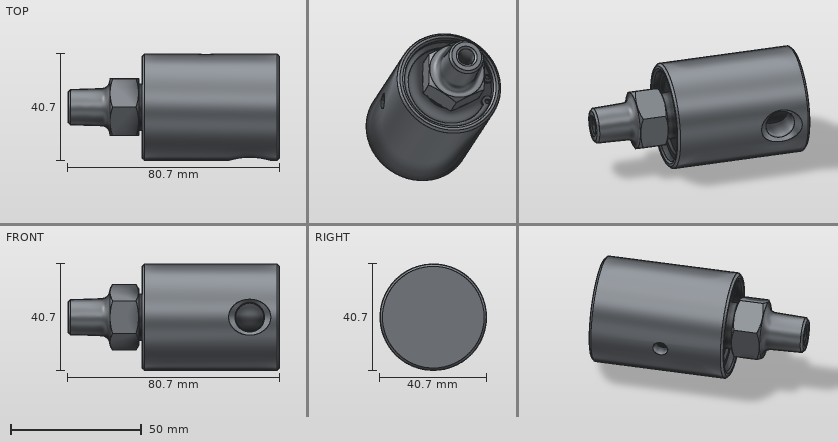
import cadquery as cq
import math


total_length = 80.73
body_diameter = 40.71
edge_chamfer = 0.9

tip_radius = 6.75
thread_taper = 1 / 16
thread_length = 12.7
hex_start = 15.9
hex_end = 27.0
hex_across_flats = 21.75
hex_face_radius = 10.7
hex_chamfer_angle = 30
fillet_end_radius = 10.3
shaft_diameter = 17.85

bore_diameter = 6.4
bore_mouth_diameter = 8.2
bore_mouth_depth = 0.5
bore_depth = 60.0

body_start = 28.3
recess_diameter = 35.05
recess_mouth_radius = 18.4
recess_mouth_depth = 0.6
recess_depth = 4.2

ring_thickness = 1.3
ring_inner_radius = 15.5
ear_radius = 2.2
ear_offset_y = -15.7
ear_offset_z = 5.05
ear_hole_diameter = 1.98

port_x = 69.4
port_inner_diameter = 10.72
port_mouth_diameter = 11.3
port_sink_diameter = 13.75
port_sink_angle = 45

side_hole_x = 52.7
side_hole_diameter = 5.75
side_hole_depth = 5.0

body_radius = body_diameter / 2
shaft_radius = shaft_diameter / 2
recess_radius = recess_diameter / 2
recess_floor_x = body_start + recess_depth


def disc(start, length, radius):
    """Cylinder along X, beginning at X = start."""
    return cq.Workplane("YZ", origin=(start, 0, 0)).circle(radius).extrude(length)


def cone(start, length, start_radius, end_radius):
    """Truncated cone along X, beginning at X = start."""
    return cq.Workplane("XY").add(
        cq.Solid.makeCone(start_radius, end_radius, length, cq.Vector(start, 0, 0), cq.Vector(1, 0, 0))
    )


def make_body():
    body = disc(body_start, total_length - body_start, body_radius)
    body = body.faces("<X or >X").chamfer(edge_chamfer)
    body = body.cut(disc(body_start, recess_depth, recess_radius))
    return body.cut(cone(body_start, recess_mouth_depth, recess_mouth_radius, recess_radius))


def make_tapered_thread():
    """Tapered thread envelope with a concave flare up to the hexagon."""
    root_radius = tip_radius + (thread_length - edge_chamfer) * thread_taper / 2
    flare_x = hex_start - thread_length
    flare_r = fillet_end_radius - root_radius
    mid_point = (
        thread_length + flare_x * math.sin(math.pi / 4),
        root_radius + flare_r * (1 - math.cos(math.pi / 4)),
    )
    profile = (
        cq.Workplane("XY")
        .moveTo(0, 0)
        .lineTo(0, tip_radius - edge_chamfer)
        .lineTo(edge_chamfer, tip_radius)
        .lineTo(thread_length, root_radius)
        .threePointArc(mid_point, (hex_start, fillet_end_radius))
        .lineTo(hex_start, 0)
        .close()
    )
    return profile.revolve(360, (0, 0, 0), (1, 0, 0))


def make_hexagon():
    """Hexagon with corners at +Z and -Z and both ends chamfered."""
    corner_diameter = hex_across_flats / math.cos(math.pi / 6)
    hex_length = hex_end - hex_start
    blank = (
        cq.Workplane("YZ", origin=(hex_start, 0, 0))
        .transformed(rotate=(0, 0, 90))
        .polygon(6, corner_diameter)
        .extrude(hex_length)
    )
    chamfer_radial = corner_diameter / 2 - hex_face_radius
    chamfer_axial = chamfer_radial * math.tan(math.radians(hex_chamfer_angle))
    envelope = disc(hex_start, hex_length, corner_diameter / 2)
    envelope = envelope.faces("<X").chamfer(chamfer_axial, chamfer_radial)
    envelope = envelope.faces(">X").chamfer(chamfer_axial, chamfer_radial)
    return blank.intersect(envelope)


def make_retaining_ring():
    """Open ring whose two ends carry round ears with plier holes."""
    start = recess_floor_x - ring_thickness
    outline = disc(start, ring_thickness, recess_radius)
    gap_depth = 2 * (recess_radius + ear_offset_y + ear_radius)
    gap = cq.Workplane("XY").box(2 * ring_thickness, gap_depth, 2 * ear_offset_z)
    gap = gap.translate((start + ring_thickness / 2, -recess_radius, 0))
    ring = outline.cut(disc(start, ring_thickness, ring_inner_radius)).cut(gap)
    for z in (ear_offset_z, -ear_offset_z):
        ear = disc(start, ring_thickness, ear_radius).translate((0, ear_offset_y, z))
        hole = disc(start, ring_thickness, ear_hole_diameter / 2).translate((0, ear_offset_y, z))
        ring = ring.union(ear.intersect(outline)).cut(hole)
    return ring


def make_bore():
    mouth = cone(0, bore_mouth_depth, bore_mouth_diameter / 2, bore_diameter / 2)
    return disc(0, bore_depth, bore_diameter / 2).union(mouth)


def radial_cylinder(x, start_y, end_y, radius):
    """Cylinder parallel to the Y axis, between two Y positions."""
    return cq.Workplane("XZ", origin=(x, start_y, 0)).circle(radius).extrude(start_y - end_y)


def radial_cone(x, start_y, end_y, start_radius, end_radius):
    """Truncated cone pointing toward -Y, between two distances from the X axis."""
    return cq.Workplane("XY").add(
        cq.Solid.makeCone(
            start_radius,
            end_radius,
            end_y - start_y,
            cq.Vector(x, -start_y, 0),
            cq.Vector(0, -1, 0),
        )
    )


def make_port():
    """Countersunk, tapered radial hole that ends on the surface of the shaft."""
    inner_radius = port_inner_diameter / 2
    mouth_radius = port_mouth_diameter / 2
    sink_radius = port_sink_diameter / 2
    slope = math.tan(math.radians(port_sink_angle))

    sink_y = math.sqrt(body_radius**2 - sink_radius**2)
    mouth_y = sink_y - (sink_radius - mouth_radius) / slope
    outer_radius = mouth_radius + (body_radius - mouth_y) * slope

    base = radial_cylinder(port_x, 0, -shaft_radius, inner_radius)
    taper = radial_cone(port_x, shaft_radius, mouth_y, inner_radius, mouth_radius)
    sink = radial_cone(port_x, mouth_y, body_radius, mouth_radius, outer_radius)
    return base.union(taper).union(sink).cut(disc(0, total_length, shaft_radius))


def make_side_hole():
    return radial_cylinder(side_hole_x, body_radius, body_radius - side_hole_depth, side_hole_diameter / 2)


neck = disc(hex_end, recess_floor_x - hex_end, shaft_radius)

result = (
    make_body()
    .union(make_retaining_ring())
    .union(neck)
    .union(make_hexagon())
    .union(make_tapered_thread())
    .cut(make_bore())
    .cut(make_port())
    .cut(make_side_hole())
)